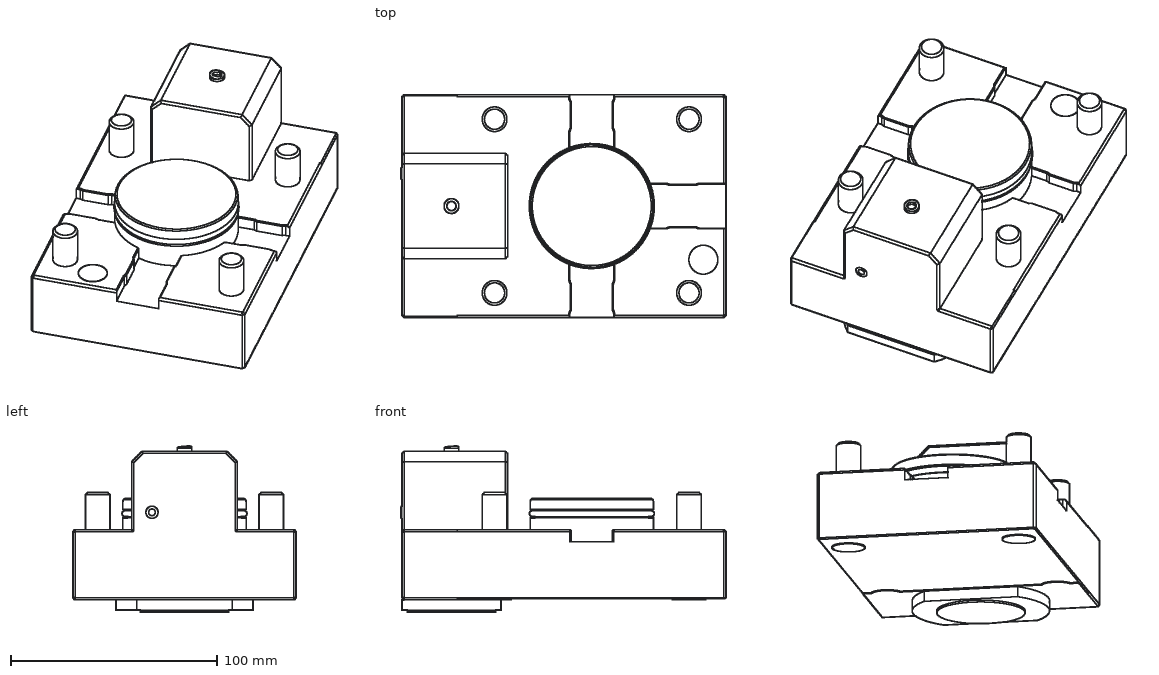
import cadquery as cq
import math


PLATE_LEFT = -92.0
PLATE_RIGHT = 65.0
PLATE_WIDTH = 108.0
PLATE_THICKNESS = 33.5
EDGE_CHAMFER = 1.1
UNDERSIDE_CHAMFER = 0.6

BLOCK_LENGTH = 51.2
BLOCK_WIDTH = 51.2
BLOCK_HEIGHT = 38.0
BLOCK_BEVEL = 5.0
END_SECTION_LENGTH = 27.0
END_SECTION_INSET = 0.6

UNDERSIDE_STEP = 0.5
UNDERSIDE_STEP_LENGTH = 48.7

SLOT_DEPTH = 6.0
SLOT_WIDTH = 20.0
SLOT_RELIEF = 0.6
SLOT_LIP_CHAMFER = 0.5
SLOT_LAND_START = 37.6
SLOT_LAND_END = 50.4
SLOT_BLEND = 1.5

PISTON_DIAMETER = 59.9
PISTON_HEIGHT = 15.1
PISTON_TAPER_HEIGHT = 1.5
PISTON_TAPER_INSET = 0.5
PISTON_RIM_CHAMFER = 0.6
GROOVE_DIAMETER = 55.1
GROOVE_WIDTH = 4.1
GROOVE_HEIGHT = 7.7
SEAL_DIAMETER = 60.6
SEAL_CORD = 2.8

PIN_DIAMETER = 12.0
PIN_HEIGHT = 18.0
PIN_CHAMFER = 1.1
PIN_X = 47.1
PIN_Y = 42.0
PAD_DIAMETER = 16.0

FOOT_DIAMETER = 66.6
FOOT_LENGTH = 48.0
FOOT_DEPTH = 5.0
FOOT_DISC_DIAMETER = 42.8
FOOT_DISC_THICKNESS = 1.0

PLUG_DIAMETER = 14.0
PLUG_RECESS = 0.2
PLUG_X = 54.0
PLUG_Y = -26.0

PORT_CORD = 1.4
TOP_PORT_DIAMETER = 7.2
TOP_PORT_REACH = 2.5
TOP_PORT_TILT = 7.0
SIDE_PORT_DIAMETER = 6.0
SIDE_PORT_REACH = 0.5
SIDE_PORT_Y = 15.8
SIDE_PORT_Z = 8.3

JOIN_DEPTH = 4.7

FOOT_X = PLATE_LEFT + FOOT_LENGTH / 2
SECTION_BOTTOM = -PLATE_THICKNESS - UNDERSIDE_STEP
SECTION_JOINT_X = PLATE_LEFT + END_SECTION_LENGTH


def box_between(x_range, y_range, z_range):
    """Return a box that spans the given ranges."""
    size = [high - low for low, high in (x_range, y_range, z_range)]
    corner = (x_range[0], y_range[0], z_range[0])
    return cq.Workplane("XY").box(*size, centered=False).translate(corner)


def disc(diameter, height, x, y, z):
    """Return an upright cylinder that rises from the point (x, y, z)."""
    return cq.Workplane("XY", origin=(x, y, z)).circle(diameter / 2).extrude(height)


def seal_ring(outer_diameter, cord):
    """Return a round-section ring about the Z axis, centred on the origin."""
    ring_radius = (outer_diameter - cord) / 2
    return cq.Workplane("XZ").center(ring_radius, 0).circle(cord / 2).revolve(
        360, (-ring_radius, 0, 0), (-ring_radius, 1, 0)
    )


def make_plate():
    half = PLATE_WIDTH / 2
    plate = box_between((SECTION_JOINT_X, PLATE_RIGHT), (-half, half), (-PLATE_THICKNESS, 0))
    plate = plate.edges("|Z and >X").chamfer(EDGE_CHAMFER)
    plate = plate.faces(">Z").edges("not <X").chamfer(EDGE_CHAMFER)
    plate = plate.faces("<Z").edges("not <X").chamfer(UNDERSIDE_CHAMFER)
    step_half = half - END_SECTION_INSET
    step = box_between(
        (SECTION_JOINT_X, PLATE_LEFT + UNDERSIDE_STEP_LENGTH),
        (-step_half, step_half),
        (SECTION_BOTTOM, -PLATE_THICKNESS),
    )
    return plate.union(step)


def make_end_section():
    """Return the stepped left end of the plate with its face chamfered all round."""
    half = PLATE_WIDTH / 2
    half_block = BLOCK_WIDTH / 2
    half_outline = [
        (half - END_SECTION_INSET, SECTION_BOTTOM),
        (half, SECTION_BOTTOM + EDGE_CHAMFER),
        (half, -EDGE_CHAMFER),
        (half - END_SECTION_INSET, 0),
        (half_block, 0),
        (half_block, BLOCK_HEIGHT - BLOCK_BEVEL),
        (half_block - BLOCK_BEVEL, BLOCK_HEIGHT),
    ]
    mirrored = [(-y, z) for y, z in reversed(half_outline)]
    plane = cq.Workplane("YZ", origin=(PLATE_LEFT + EDGE_CHAMFER, 0, 0))
    body = plane.polyline(half_outline + mirrored).close().extrude(END_SECTION_LENGTH - EDGE_CHAMFER)
    chamfered_face = plane.polyline(half_outline + mirrored).close().extrude(-EDGE_CHAMFER, taper=45)
    return body.union(chamfered_face)


def make_block():
    """Return the part of the raised block that stands behind the chamfered end face."""
    half = BLOCK_WIDTH / 2
    block = box_between(
        (PLATE_LEFT + EDGE_CHAMFER, PLATE_LEFT + BLOCK_LENGTH), (-half, half), (0, BLOCK_HEIGHT)
    )
    block = block.edges("|X and >Z").chamfer(BLOCK_BEVEL)
    return block.faces(">X").edges("not <Z").chamfer(EDGE_CHAMFER)


def make_slot():
    """Return one slot along +X; its ends are wider than the land between them."""
    land = SLOT_WIDTH / 2
    wide = land + SLOT_RELIEF
    side = [
        (0, wide),
        (SLOT_LAND_START - SLOT_BLEND, wide),
        (SLOT_LAND_START, land),
        (SLOT_LAND_END, land),
        (SLOT_LAND_END + SLOT_BLEND, wide),
        (PLATE_RIGHT, wide),
    ]
    mirrored = [(x, -y) for x, y in reversed(side)]
    outline = side + mirrored
    channel = cq.Workplane("XY", origin=(0, 0, -SLOT_DEPTH)).polyline(outline).close().extrude(SLOT_DEPTH)
    lip = cq.Workplane("XY", origin=(0, 0, -SLOT_LIP_CHAMFER)).polyline(outline).close()
    return channel.union(lip.extrude(SLOT_LIP_CHAMFER, taper=-45))


def make_piston():
    piston = disc(PISTON_DIAMETER, PISTON_HEIGHT + SLOT_DEPTH, 0, 0, -SLOT_DEPTH)
    piston = piston.faces(">Z").chamfer(PISTON_TAPER_HEIGHT, PISTON_TAPER_INSET)
    piston = piston.faces(">Z").chamfer(PISTON_RIM_CHAMFER)
    groove_bottom = GROOVE_HEIGHT - GROOVE_WIDTH / 2
    groove = disc(PISTON_DIAMETER, GROOVE_WIDTH, 0, 0, groove_bottom)
    core = disc(GROOVE_DIAMETER, GROOVE_WIDTH, 0, 0, groove_bottom)
    seal = seal_ring(SEAL_DIAMETER, SEAL_CORD).translate((0, 0, GROOVE_HEIGHT))
    return piston.cut(groove).union(core).union(seal)


def make_pin(x, y):
    pin = disc(PIN_DIAMETER, PIN_HEIGHT + JOIN_DEPTH, x, y, -JOIN_DEPTH)
    return pin.faces(">Z").chamfer(PIN_CHAMFER)


def make_pad(x, y):
    """Return the pad under a pin, level with the underside step."""
    return disc(PAD_DIAMETER, UNDERSIDE_STEP + JOIN_DEPTH, x, y, SECTION_BOTTOM)


def make_foot():
    foot_bottom = SECTION_BOTTOM - FOOT_DEPTH
    foot = disc(FOOT_DIAMETER, FOOT_DEPTH, FOOT_X, 0, foot_bottom)
    flats = box_between(
        (PLATE_LEFT, PLATE_LEFT + FOOT_LENGTH), (-FOOT_DIAMETER, FOOT_DIAMETER), (foot_bottom, SECTION_BOTTOM)
    )
    disc_bottom = foot_bottom - FOOT_DISC_THICKNESS
    lower_disc = disc(FOOT_DISC_DIAMETER, FOOT_DISC_THICKNESS, FOOT_X, 0, disc_bottom)
    return foot.intersect(flats).union(lower_disc)


def make_top_port():
    tilt = math.radians(TOP_PORT_TILT)
    ring_radius = (TOP_PORT_DIAMETER - PORT_CORD) / 2
    centre_height = TOP_PORT_REACH - PORT_CORD / 2 - ring_radius * math.sin(tilt)
    ring = seal_ring(TOP_PORT_DIAMETER, PORT_CORD).rotate((0, 0, 0), (-1, -1, 0), TOP_PORT_TILT)
    ring = ring.translate((FOOT_X, 0, BLOCK_HEIGHT + centre_height))
    collar = disc(TOP_PORT_DIAMETER, centre_height, FOOT_X, 0, BLOCK_HEIGHT)
    opening = disc(TOP_PORT_DIAMETER - 2 * PORT_CORD, centre_height, FOOT_X, 0, BLOCK_HEIGHT)
    return collar.cut(opening).union(ring)


def make_side_port():
    ring = seal_ring(SIDE_PORT_DIAMETER, PORT_CORD).rotate((0, 0, 0), (0, 1, 0), 90)
    ring_x = PLATE_LEFT - SIDE_PORT_REACH + PORT_CORD / 2
    return ring.translate((ring_x, SIDE_PORT_Y, SIDE_PORT_Z))


result = make_plate().union(make_end_section()).union(make_block())
slot = make_slot()
for slot_angle in (0, 90, -90):
    result = result.cut(slot.rotate((0, 0, 0), (0, 0, 1), slot_angle))
result = result.cut(disc(PLUG_DIAMETER, PLUG_RECESS, PLUG_X, PLUG_Y, -PLUG_RECESS))
result = result.union(make_piston())
for pin_x in (-PIN_X, PIN_X):
    for pin_y in (-PIN_Y, PIN_Y):
        result = result.union(make_pin(pin_x, pin_y))
        result = result.union(make_pad(pin_x, pin_y))
result = result.union(make_foot())
result = result.union(make_top_port())
result = result.union(make_side_port())